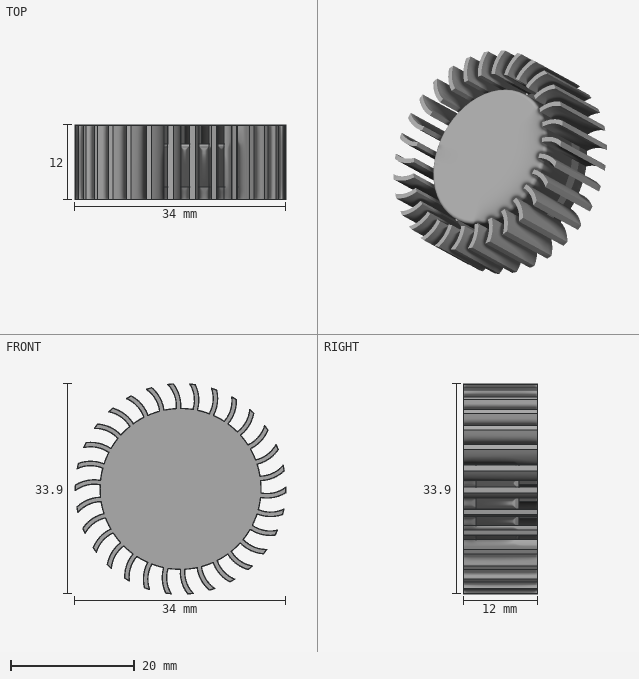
import cadquery as cq

disc_diameter = 26.0
disc_thickness = 2.0
drum_diameter = 23.0
drum_end = 9.0
drum_fillet = 0.5

wheel_diameter = 34.0
wheel_length = 12.0
blade_count = 30
blade_outer_radius = 5.75
blade_thickness = 0.75
blade_inner_radius = blade_outer_radius - blade_thickness

blade_center_x = 13.95
blade_center_z = 4.26


def cylinder(diameter, start, end):
    """Cylinder about the Y axis, from Y = start to Y = end."""
    plane = cq.Plane(origin=(0, start, 0), xDir=(1, 0, 0), normal=(0, 1, 0))
    return cq.Workplane(plane).circle(diameter / 2).extrude(end - start)


def make_hub():
    """Front disc with a drum behind it, rounded at the drum's rear edge."""
    disc = cylinder(disc_diameter, 0, disc_thickness)
    drum = cylinder(drum_diameter, 0, drum_end).faces(">Y").edges().fillet(drum_fillet)
    return disc.union(drum)


def make_blade():
    """Arc-shaped strip, trimmed to lie between the disc rim and the wheel diameter."""
    plane = cq.Plane(
        origin=(blade_center_x, 0, blade_center_z), xDir=(1, 0, 0), normal=(0, 1, 0)
    )
    tube = (
        cq.Workplane(plane)
        .circle(blade_outer_radius)
        .circle(blade_inner_radius)
        .extrude(wheel_length)
    )
    blade_zone = cylinder(wheel_diameter, 0, wheel_length).cut(
        cylinder(disc_diameter, 0, wheel_length)
    )
    return tube.intersect(blade_zone).solids("<Z")


def make_wheel():
    """Hub joined with the full ring of blades."""
    wheel = make_hub()
    blade = make_blade()
    pitch_angle = 360 / blade_count
    for index in range(blade_count):
        wheel = wheel.union(blade.rotate((0, 0, 0), (0, 1, 0), index * pitch_angle))
    return wheel


result = make_wheel()